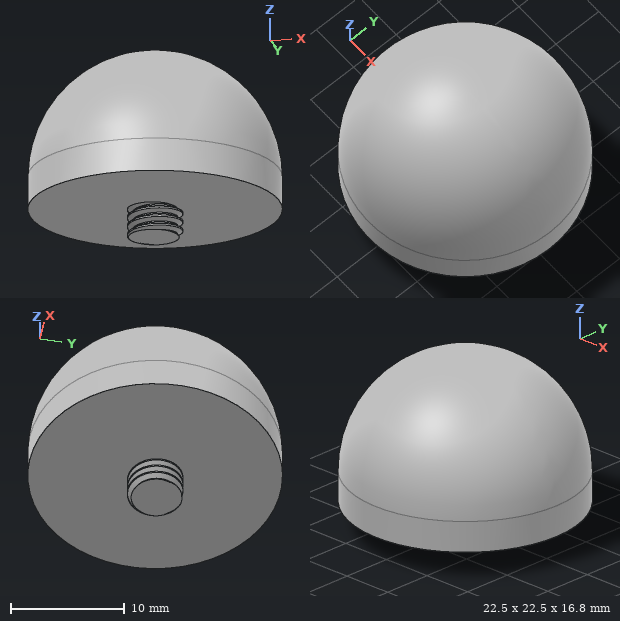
import cadquery as cq
import math

cap_diameter = 22.5
cap_radius = cap_diameter / 2
rim_height = 3.0

stud_length = 2.5
nominal_diameter = 5.0
crest_diameter = 4.9
root_diameter = 3.98
pitch_to_diameter = 0.8 / 5
pitch = nominal_diameter * pitch_to_diameter
crest_flat = pitch / 8
flank_half_angle = math.radians(30)
root_overlap = 0.05

turns_below_cap = 4.5
thread_turns = 5
thread_start_z = -turns_below_cap * pitch
thread_length = thread_turns * pitch


def make_cap():
    """Solid of revolution about Z, with the underside at Z = 0."""
    apex_height = rim_height + cap_radius
    arc_offset = cap_radius * math.sin(math.radians(45))
    return (
        cq.Workplane("XZ")
        .lineTo(cap_radius, 0)
        .lineTo(cap_radius, rim_height)
        .threePointArc((arc_offset, rim_height + arc_offset), (0, apex_height))
        .close()
        .revolve(360, (0, 0), (0, 1))
    )


def ridge_half_width(radius):
    """Half the axial width of the thread ridge at a given radius."""
    return crest_flat / 2 + (nominal_diameter / 2 - radius) * math.tan(flank_half_angle)


def make_thread_ridge():
    """Trapezoidal ridge swept along a helix."""
    crest_radius = crest_diameter / 2
    inner_radius = root_diameter / 2 - root_overlap
    crest_half = ridge_half_width(crest_radius)
    inner_half = ridge_half_width(inner_radius)
    helix = cq.Wire.makeHelix(pitch, thread_length, root_diameter / 2)
    ridge = (
        cq.Workplane("XZ")
        .polyline([
            (inner_radius, -inner_half),
            (crest_radius, -crest_half),
            (crest_radius, crest_half),
            (inner_radius, inner_half),
        ])
        .close()
        .sweep(cq.Workplane(obj=helix), isFrenet=True)
    )
    return ridge.translate((0, 0, thread_start_z))


def make_stud():
    """Core and thread ridge, joined over the full helix and then trimmed to the stud length."""
    core = (
        cq.Workplane("XY", origin=(0, 0, thread_start_z - pitch))
        .circle(root_diameter / 2)
        .extrude(thread_length + 2 * pitch)
    )
    envelope = cq.Workplane("XY").circle(nominal_diameter / 2).extrude(-stud_length)
    return core.union(make_thread_ridge()).intersect(envelope)


cap_with_stud = make_cap().union(make_stud())
result = cap_with_stud.solids()